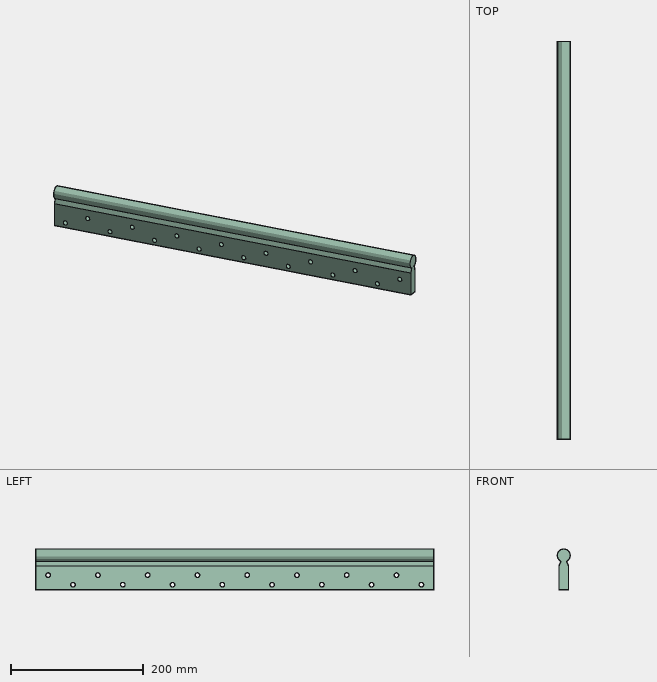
import cadquery as cq
import math

length = 600.0
height = 62.0
bead_diameter = 20.0

web_width = 15.0
shoulder_height = 36.0
neck_width = 8.5

hole_diameter = 6.5
holes_per_row = 8
hole_pitch = length / holes_per_row
hole_end_distance = hole_pitch / 4
upper_row_height = 22.0
lower_row_height = 8.0

bead_radius = bead_diameter / 2
bead_center_height = height - bead_radius
half_web = web_width / 2
half_neck = neck_width / 2
neck_top_height = bead_center_height - math.sqrt(bead_radius**2 - half_neck**2)


def rail_body():
    """Round bead on a flat web, joined by sloping shoulders, extruded along Y."""
    profile = (
        cq.Workplane("XZ", origin=(0, length / 2, 0))
        .moveTo(-half_web, 0)
        .lineTo(half_web, 0)
        .lineTo(half_web, shoulder_height)
        .lineTo(half_neck, neck_top_height)
        .threePointArc((0, height), (-half_neck, neck_top_height))
        .lineTo(-half_web, shoulder_height)
        .close()
    )
    return profile.extrude(length)


def hole_row(first_y, row_height):
    """Evenly pitched cylinders along X that pass through the web."""
    centers = [(first_y + i * hole_pitch, row_height) for i in range(holes_per_row)]
    return (
        cq.Workplane("YZ", origin=(-half_web, 0, 0))
        .pushPoints(centers)
        .circle(hole_diameter / 2)
        .extrude(web_width)
    )


lower_first_y = -length / 2 + hole_end_distance
upper_first_y = lower_first_y + hole_pitch / 2

result = (
    rail_body()
    .cut(hole_row(lower_first_y, lower_row_height))
    .cut(hole_row(upper_first_y, upper_row_height))
)